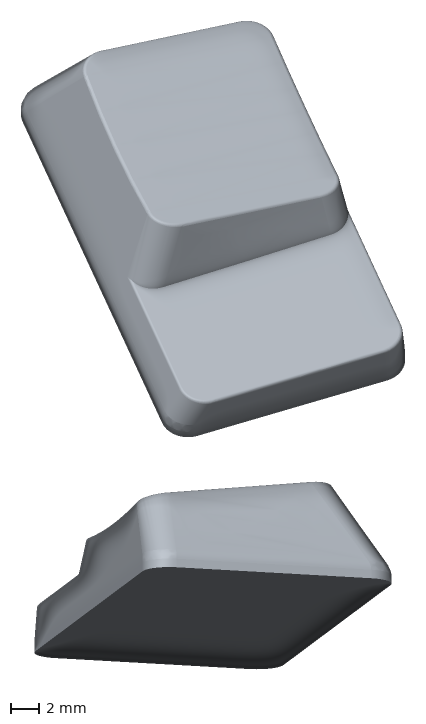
import cadquery as cq
import math

length = 32.45
width = 18.17
corner_radius = 1.95
skirt_height = 0.62
blend_height = 0.7
blend_sections = 5

top_left = 3.25
top_right = 19.75
top_front = 3.67
top_back = 17.78
front_rim_height = 7.7
back_rim_height = 5.87
top_corner_radius = 1.88
dish_sag = 0.5
top_edge_radius = 0.25

key_foot_right = 22.7
step_height = 3.47
step_start = 11.35
step_edge_radius = 0.23

top_run = top_back - top_front
top_drop = front_rim_height - back_rim_height
tilt = math.degrees(math.atan2(top_drop, top_run))
top_length = math.hypot(top_run, top_drop)
top_width = top_right - top_left
top_centre = (
    (top_left + top_right) / 2,
    (top_front + top_back) / 2,
    (front_rim_height + back_rim_height) / 2,
)

wall_base = skirt_height + blend_height / 2
wall_foot = skirt_height + blend_height
front_slope = top_front / (front_rim_height - wall_base)
back_slope = (width - top_back) / (back_rim_height - wall_base)
left_slope = top_left / (top_centre[2] - wall_base)
dish_radius = ((top_width / 2) ** 2 + dish_sag ** 2) / (2 * dish_sag)


def rounded_wire(size_x, size_y, radius, centre, tilt_angle=0.0):
    """Rounded rectangle about a centre, tipped down towards +Y."""
    sketch = cq.Sketch().rect(size_x, size_y).vertices().fillet(radius).reset()
    wire = sketch.faces().val().outerWire()
    return wire.rotate(cq.Vector(0, 0, 0), cq.Vector(1, 0, 0), -tilt_angle).translate(cq.Vector(*centre))


def level_wire(left, right, front, back, height):
    centre = ((left + right) / 2, (front + back) / 2, height)
    return rounded_wire(right - left, back - front, corner_radius, centre)


def wall_wire(left, right, lean, height):
    """Level outline whose front and back walls have leaned in over a given equivalent height."""
    return level_wire(left, right, front_slope * lean, width - back_slope * lean, height)


def loft(wires, ruled=True):
    return cq.Workplane(cq.Solid.makeLoft(wires, ruled))


def make_skirt():
    outline = level_wire(0, length, 0, width, 0)
    return cq.Workplane(cq.Solid.extrudeLinear(outline, [], cq.Vector(0, 0, skirt_height)))


def make_blend():
    """Curved band that starts upright on the skirt and ends at the slope of each wall."""
    wires = []
    for index in range(blend_sections):
        rise = blend_height * index / (blend_sections - 1)
        lean = rise ** 2 / (2 * blend_height)
        wires.append(wall_wire(left_slope * lean, length, lean, skirt_height + rise))
    return loft(wires, ruled=False)


def make_key():
    """Flared key body, with a cylindrical dish along its tilted top."""
    lean = wall_foot - wall_base
    foot = wall_wire(left_slope * lean, key_foot_right, lean, wall_foot)
    top = rounded_wire(top_width, top_length, top_corner_radius, top_centre, tilt)
    dish = (
        cq.Workplane("XZ")
        .center(0, dish_radius - dish_sag)
        .circle(dish_radius)
        .extrude(top_length, both=True)
        .rotate((0, 0, 0), (1, 0, 0), -tilt)
        .translate(top_centre)
    )
    return loft([foot, top]).cut(dish)


def make_step():
    """Low step whose front and back walls continue those of the key."""
    foot = wall_wire(step_start, length, wall_foot - wall_base, wall_foot)
    top = wall_wire(step_start, length, step_height - wall_base, step_height)
    return loft([foot, top]).faces(">Z").edges().fillet(step_edge_radius)


key = make_key().faces(">Z").edges().fillet(top_edge_radius)
result = make_skirt().union(make_blend()).union(make_step()).union(key)